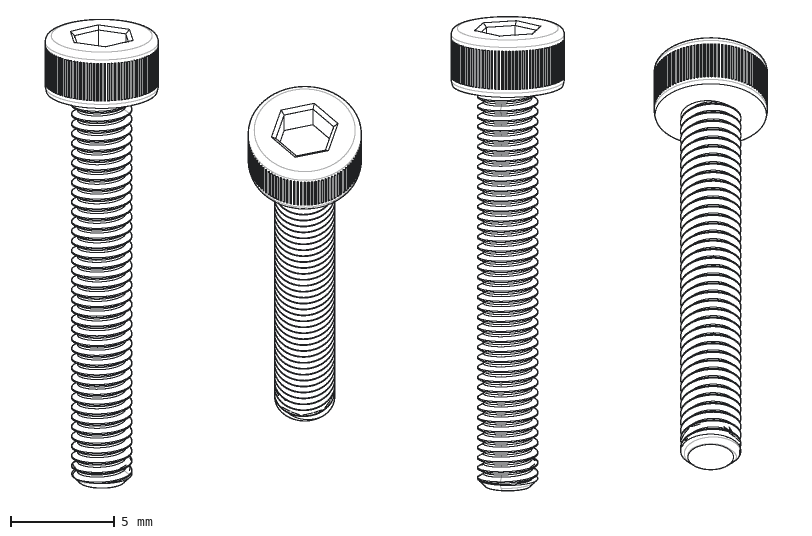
import cadquery as cq
import math

head_diameter = 5.5
head_height = 2.8
head_top_fillet = 0.3
head_bottom_bevel_height = 0.22
head_bottom_bevel_width = 0.05

knurl_count = 100
knurl_bottom = 0.4
knurl_top = 2.3
groove_width = 0.095

socket_flats = 2.5
socket_depth = 1.5
socket_bevel = 0.19
bevel_angle = 45

thread_length = 20.0
thread_pitch = 0.5
crest_diameter = 2.93
root_diameter = 2.36
flank_angle = 30
crest_width = thread_pitch / 8
ridge_embed = 0.05
tip_bevel = 0.36

head_radius = head_diameter / 2
crest_radius = crest_diameter / 2
root_radius = root_diameter / 2
tip_z = -thread_length

tip_joint_z = tip_z + thread_pitch
head_joint_z = -2 * thread_pitch
ridge_end_z = thread_pitch / 2
core_top_z = 2 * ridge_end_z


def make_head_blank():
    """Cylinder with a rounded top rim and a slim bevel under the bottom rim."""
    outline = (
        cq.Workplane("XZ")
        .lineTo(head_radius - head_bottom_bevel_width, 0)
        .lineTo(head_radius, head_bottom_bevel_height)
        .lineTo(head_radius, head_height)
        .lineTo(0, head_height)
        .close()
    )
    return outline.revolve().faces(">Z").edges().fillet(head_top_fillet)


def make_knurl():
    """Cutters for the V-grooves, with a land between two grooves on the X axis."""
    half_width = groove_width / 2
    groove_depth = half_width
    floor_x = head_radius - groove_depth
    outer_x = head_radius + groove_depth
    outer_y = outer_x - floor_x
    groove = (
        cq.Workplane("XY")
        .workplane(offset=knurl_bottom)
        .moveTo(floor_x, 0)
        .lineTo(outer_x, outer_y)
        .lineTo(outer_x, -outer_y)
        .close()
        .extrude(knurl_top - knurl_bottom)
        .val()
    )
    spacing = 360 / knurl_count
    grooves = []
    for index in range(knurl_count):
        angle = (index + 0.5) * spacing
        grooves.append(groove.rotate((0, 0, 0), (0, 0, 1), angle))
    return cq.Workplane(cq.Compound.makeCompound(grooves))


def hexagon(flats, height):
    """Hexagon at the given height, with corners along X."""
    corner_diameter = flats / math.cos(math.pi / 6)
    return cq.Workplane("XY").workplane(offset=height).polygon(6, corner_diameter)


def make_socket():
    """Cutter for the hexagon socket and the bevel around its mouth."""
    well = hexagon(socket_flats, head_height - socket_depth).extrude(socket_depth)
    mouth_flats = socket_flats + 2 * socket_bevel
    mouth = hexagon(mouth_flats, head_height).extrude(-socket_bevel, taper=bevel_angle)
    return well.union(mouth)


def make_core():
    """Thread core ending in a solid cone that starts at the crest diameter."""
    cone_top_z = tip_z + tip_bevel
    outline = (
        cq.Workplane("XZ")
        .moveTo(0, tip_z)
        .lineTo(crest_radius - tip_bevel, tip_z)
        .lineTo(crest_radius, cone_top_z)
        .lineTo(root_radius, cone_top_z)
        .lineTo(root_radius, core_top_z)
        .lineTo(0, core_top_z)
        .close()
    )
    return outline.revolve()


def make_ridge(bottom_z, top_z):
    """Run of the thread ridge; both heights are measured at the crest middle."""
    inner_radius = root_radius - ridge_embed
    half_crest = crest_width / 2
    flank_rise = (crest_radius - inner_radius) * math.tan(math.radians(flank_angle))
    half_base = half_crest + flank_rise
    helix = cq.Wire.makeHelix(thread_pitch, top_z - bottom_z, root_radius, cq.Vector(0, 0, bottom_z))
    return (
        cq.Workplane("XZ")
        .moveTo(inner_radius, bottom_z - half_base)
        .lineTo(crest_radius, bottom_z - half_crest)
        .lineTo(crest_radius, bottom_z + half_crest)
        .lineTo(inner_radius, bottom_z + half_base)
        .close()
        .sweep(cq.Workplane(helix), isFrenet=True)
    )


def make_tip_envelope():
    """Tip cone widened upward until it clears the crest, to trim the ridge start."""
    height = 2 * thread_pitch
    tip_center = cq.Vector(0, 0, tip_z)
    tip_radius = crest_radius - tip_bevel
    return cq.Workplane(cq.Solid.makeCone(tip_radius, tip_radius + height, height, tip_center))


head = make_head_blank().cut(make_knurl()).cut(make_socket())
tip_ridge = make_ridge(tip_z, tip_joint_z).intersect(make_tip_envelope())
middle_ridge = make_ridge(tip_joint_z, head_joint_z)
head_ridge = make_ridge(head_joint_z, ridge_end_z)

blank = head.val().fuse(make_core().val(), tip_ridge.val(), head_ridge.val())
result = cq.Workplane(blank.fuse(middle_ridge.val()).Solids()[0])